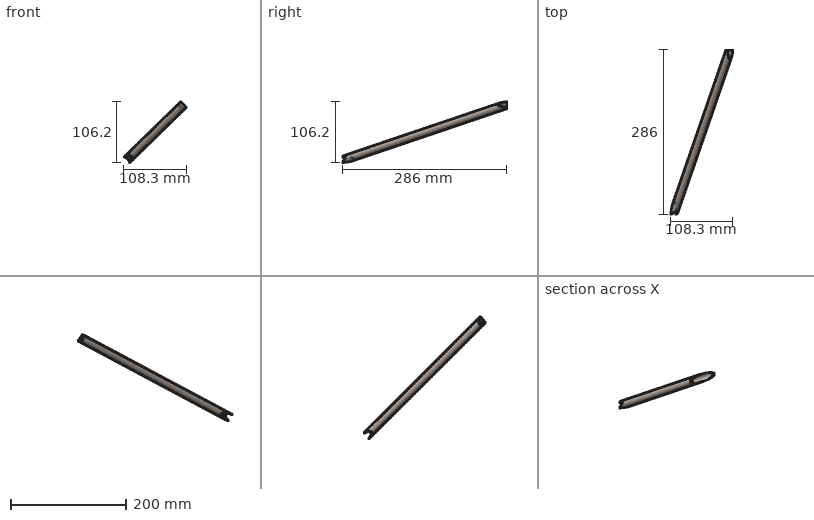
import cadquery as cq

outer_diameter = 14.3
wall = 1.5

end_x = 49.2
end_y = 143.0
end_z = 48.0
lower_ridge_inset = 1.0

overrun = 57.2
cutter_size = 171.5

lower_face_slope = 0.6
lower_flank_slope = 0.1

upper_point = cq.Vector(end_x, end_y, end_z)
lower_point = upper_point * -1
inward = cq.Vector(end_x, 0, end_z).normalized()
along_y = cq.Vector(0, 1, 0)
ridge = inward.cross(along_y)

centreline_start = lower_point - inward * lower_ridge_inset
centreline = upper_point - centreline_start
axis = centreline.normalized()


def rod(radius):
    """Solid round bar along the centreline, overrunning both ends."""
    start = centreline_start - axis * overrun
    length = centreline.Length + 2 * overrun
    plane = cq.Plane(origin=start.toTuple(), xDir=ridge.toTuple(), normal=axis.toTuple())
    return cq.Workplane(plane).circle(radius).extrude(length)


def trim(body, point, outward):
    """Remove everything beyond the plane through point that faces outward."""
    plane = cq.Plane(origin=point.toTuple(), xDir=ridge.toTuple(), normal=outward.toTuple())
    cutter = cq.Workplane(plane).rect(cutter_size, cutter_size).extrude(cutter_size)
    return body.cut(cutter)


outer_radius = outer_diameter / 2
bore = trim(rod(outer_radius - wall), upper_point - along_y * wall, along_y)
result = rod(outer_radius).cut(bore)

result = trim(result, upper_point, along_y)
result = trim(result, upper_point, inward)

result = trim(result, lower_point, inward * lower_face_slope - along_y)
result = trim(result, lower_point, along_y * lower_flank_slope - inward)